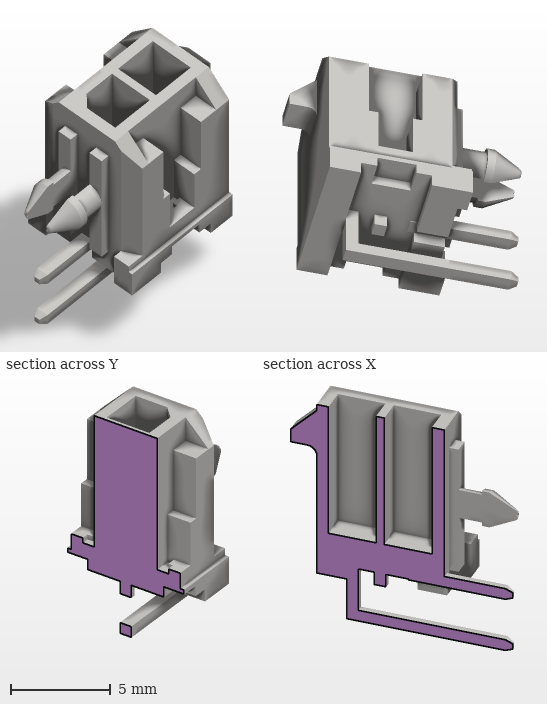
import cadquery as cq


TOTAL_HEIGHT = 12.24
HOUSING_HEIGHT = 9.91
HOUSING_DEPTH = 6.88
HALF_WIDTH = 3.34
CORE_HALF_WIDTH = 1.93
SHOULDER_Z = 8.53
FRONT_HALF_WIDTH = 2.34
STANDOFF = 0.5
CORNER_WEDGE = 0.95

FLANGE_HALF_WIDTH = 3.57
FLANGE_TOP = 1.59
FOOT_TOP = 2.0
UNDERCUT_HEIGHT = 0.72
UNDERCUT_FRONT = 1.6
UNDERCUT_BACK = 5.28
RECESS_TOP = 1.32
RECESS_LENGTH = 2.01

SLOT_CENTER_Y = 3.43
SLOT_WIDTH = 2.77
SLOT_STEP_Z = 5.01
LOWER_SLOT_WIDTH = 1.77
SLOT_FLOOR_Z = 2.5
POCKET_DEPTH = 0.28
KEY_WIDTH = 0.78
KEY_OUTER = 2.61

CAVITY_WIDTH = 2.61
CAVITY_LENGTH = 2.55
CAVITY_PITCH = 3.0
CAVITY_FRONT = 0.69
CAVITY_KEY = 0.69

LATCH_WIDTH = 1.53
LATCH_REACH = 1.4
LATCH_TOP = 9.56
LATCH_NOSE_TOP = 8.18
LATCH_BOTTOM = 7.4
LATCH_FILLET = 0.5

RIB_INNER = 0.65
RIB_OUTER = 1.48
RIB_BOTTOM = 1.32
RIB_TOP = 8.5
PEG_Z = 5.31
PEG_RADIUS = 0.82
PEG_HEAD_RADIUS = 1.02
PEG_TIP_RADIUS = 0.29
PEG_HEAD_START = 1.75
PEG_HEAD_END = 2.17
TAIL_LENGTH = 3.67
PEG_TIP_BULGE = 0.1

PIN_WIDTH = 0.7
PIN_HEIGHT = 0.65
PIN_TIP_SIZE = 0.33
PIN_TIP_LENGTH = 0.4
UPPER_PIN_TOP = RIB_BOTTOM
UPPER_PIN_END = 1.96
LOWER_PIN_BOTTOM = HOUSING_HEIGHT - TOTAL_HEIGHT
TAB_FRONT = 3.15


def block(x0, x1, y0, y1, z0, z1):
    """Axis-aligned box between two corners."""
    return cq.Workplane("XY").box(x1 - x0, y1 - y0, z1 - z0, centered=False).translate((x0, y0, z0))


def centered_block(half_width, y0, y1, z0, z1):
    """Box symmetric about the mid plane."""
    return block(-half_width, half_width, y0, y1, z0, z1)


def both_sides(shape):
    """Shape on the +X side joined with its mirror image."""
    return shape.union(shape.mirror("YZ"))


def make_shell():
    """Sloped-shoulder housing with chamfered front corners, flange and feet."""
    outline = [
        (HALF_WIDTH, 0),
        (HALF_WIDTH, SHOULDER_Z),
        (CORE_HALF_WIDTH, HOUSING_HEIGHT),
        (-CORE_HALF_WIDTH, HOUSING_HEIGHT),
        (-HALF_WIDTH, SHOULDER_Z),
        (-HALF_WIDTH, 0),
    ]
    shell = cq.Workplane("XZ").polyline(outline).close().extrude(-HOUSING_DEPTH)
    front_corner = (
        cq.Workplane("XY")
        .polyline([(FRONT_HALF_WIDTH, 0), (HALF_WIDTH, 0), (HALF_WIDTH, STANDOFF)])
        .close()
        .extrude(HOUSING_HEIGHT)
    )
    shell = shell.cut(both_sides(front_corner))
    flange = block(FRONT_HALF_WIDTH, FLANGE_HALF_WIDTH, -STANDOFF, HOUSING_DEPTH, 0, FLANGE_TOP)
    foot = block(FRONT_HALF_WIDTH, HALF_WIDTH, -STANDOFF, STANDOFF, 0, FOOT_TOP)
    return shell.union(both_sides(flange)).union(both_sides(foot))


def make_side_slot():
    """Stepped slot in the +X wall with a shallow keyed pocket in its floor."""
    def level(inner, outer, width, z0, z1):
        return block(inner, outer, SLOT_CENTER_Y - width / 2, SLOT_CENTER_Y + width / 2, z0, z1)

    pocket_z = SLOT_FLOOR_Z - POCKET_DEPTH
    upper = level(CORE_HALF_WIDTH, HALF_WIDTH, SLOT_WIDTH, SLOT_STEP_Z, HOUSING_HEIGHT)
    lower = level(CORE_HALF_WIDTH, HALF_WIDTH, LOWER_SLOT_WIDTH, SLOT_FLOOR_Z, SLOT_STEP_Z)
    pocket = level(CORE_HALF_WIDTH, FRONT_HALF_WIDTH, LOWER_SLOT_WIDTH, pocket_z, SLOT_FLOOR_Z)
    key = level(CORE_HALF_WIDTH, KEY_OUTER, KEY_WIDTH, pocket_z, SLOT_FLOOR_Z)
    shoulder = block(
        CORE_HALF_WIDTH, HALF_WIDTH, CORNER_WEDGE, HOUSING_DEPTH - CORNER_WEDGE, SHOULDER_Z, HOUSING_HEIGHT
    )
    return upper.union(lower).union(pocket).union(key).union(shoulder)


def make_cavities():
    """Two rectangular wire cavities, the front one with a cut corner."""
    half = CAVITY_WIDTH / 2
    front, rear = [
        centered_block(half, y, y + CAVITY_LENGTH, SLOT_FLOOR_Z, HOUSING_HEIGHT)
        for y in (CAVITY_FRONT, CAVITY_FRONT + CAVITY_PITCH)
    ]
    front = front.edges("|Z and <X and <Y").chamfer(CAVITY_KEY)
    return front.union(rear)


def make_base_cuts():
    """Undercut, flange recesses and front pin slot in the underside."""
    undercut = centered_block(FLANGE_HALF_WIDTH, UNDERCUT_FRONT, UNDERCUT_BACK, 0, UNDERCUT_HEIGHT)
    recess = block(
        FRONT_HALF_WIDTH, FLANGE_HALF_WIDTH,
        SLOT_CENTER_Y - RECESS_LENGTH / 2, SLOT_CENTER_Y + RECESS_LENGTH / 2, 0, RECESS_TOP,
    )
    pin_slot = centered_block(PIN_WIDTH / 2, 0, UNDERCUT_FRONT, 0, UPPER_PIN_TOP)
    return undercut.union(both_sides(recess)).union(pin_slot)


def make_latch():
    """Ramped catch on the back wall with a concave fillet beneath."""
    nose = HOUSING_DEPTH + LATCH_REACH
    return (
        cq.Workplane("YZ")
        .moveTo(HOUSING_DEPTH, LATCH_TOP)
        .lineTo(nose, LATCH_NOSE_TOP)
        .lineTo(nose, LATCH_BOTTOM)
        .lineTo(HOUSING_DEPTH + LATCH_FILLET, LATCH_BOTTOM)
        .radiusArc((HOUSING_DEPTH, LATCH_BOTTOM - LATCH_FILLET), -LATCH_FILLET)
        .close()
        .extrude(LATCH_WIDTH / 2, both=True)
    )


def make_peg():
    """Front rib and half-round snap peg on the +X side."""
    rim_y = PEG_TIP_BULGE - TAIL_LENGTH
    peg = (
        cq.Workplane("XY")
        .lineTo(PEG_RADIUS, 0)
        .lineTo(PEG_RADIUS, -PEG_HEAD_START)
        .lineTo(PEG_HEAD_RADIUS, -PEG_HEAD_START)
        .lineTo(PEG_HEAD_RADIUS, -PEG_HEAD_END)
        .lineTo(PEG_TIP_RADIUS, rim_y)
        .threePointArc((PEG_TIP_RADIUS / 2, -TAIL_LENGTH), (0, rim_y))
        .close()
        .revolve(360, (0, 0, 0), (0, 1, 0))
        .translate((RIB_INNER, 0, PEG_Z))
    )
    outer_half = block(RIB_INNER, HALF_WIDTH, -TAIL_LENGTH, 0, 0, HOUSING_HEIGHT)
    rib = block(RIB_INNER, RIB_OUTER, -STANDOFF, 0, RIB_BOTTOM, RIB_TOP)
    return peg.intersect(outer_half).union(rib)


def make_tail(end_y, bottom):
    """Horizontal pin tail with a tapered tip, running back to end_y."""
    shank_y = PIN_TIP_LENGTH - TAIL_LENGTH
    shank = centered_block(PIN_WIDTH / 2, shank_y, end_y, bottom, bottom + PIN_HEIGHT)
    tip = (
        cq.Workplane("XZ", origin=(0, shank_y, bottom + PIN_HEIGHT / 2))
        .rect(PIN_WIDTH, PIN_HEIGHT)
        .workplane(offset=PIN_TIP_LENGTH)
        .rect(PIN_TIP_SIZE, PIN_TIP_SIZE)
        .loft()
    )
    return shank.union(tip)


def make_pins():
    """Upper and lower pin tails, the rear leg and the short tab under the housing."""
    half = PIN_WIDTH / 2
    upper = make_tail(UPPER_PIN_END, UPPER_PIN_TOP - PIN_HEIGHT)
    lower = make_tail(UNDERCUT_BACK, LOWER_PIN_BOTTOM)
    leg = centered_block(half, UNDERCUT_BACK - PIN_HEIGHT, UNDERCUT_BACK, LOWER_PIN_BOTTOM, RECESS_TOP)
    tab = centered_block(half, TAB_FRONT, TAB_FRONT + PIN_HEIGHT, 0, RECESS_TOP)
    return upper.union(lower).union(leg).union(tab)


housing = make_shell().cut(both_sides(make_side_slot())).cut(make_cavities()).cut(make_base_cuts())
result = housing.union(make_latch()).union(both_sides(make_peg())).union(make_pins())